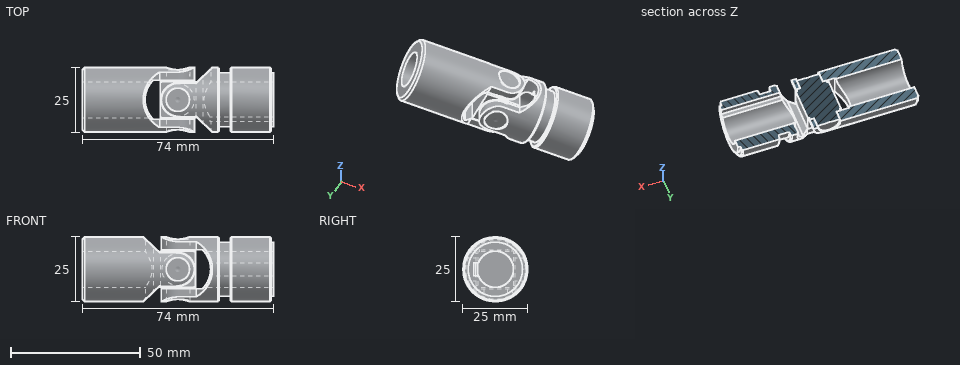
import cadquery as cq

body_diameter = 25.0
body_radius = body_diameter / 2
length = 74.0
half_length = length / 2
bore_diameter = 14.0
end_chamfer = 0.95

cheek_width = 12.95
cheek_gap = 15.0
cheek_root_x = 7.0
shoulder_x = 13.4
relief_radius = 10.65
relief_center_x = 2.0

block_size = 13.8
boss_diameter = 12.5
pin_diameter = 9.0
pin_span = 23.2
dimple_diameter = 2.15
dimple_depth = 0.2

neck_diameter = 21.0
groove_start_x = 15.9
groove_end_x = 20.3
collar_end_x = 36.05
collar_chamfer = 0.5
keyway_width = 5.0
keyway_floor_y = -8.35


def x_cylinder(diameter, start_x, end_x):
    """Cylinder on the X axis between two stations."""
    return cq.Workplane("YZ", origin=(start_x, 0, 0)).circle(diameter / 2).extrude(end_x - start_x)


def z_cylinder(diameter, height):
    """Cylinder on the Z axis, centred on the origin."""
    return cq.Workplane("XY").circle(diameter / 2).extrude(height / 2, both=True)


def fork_outline():
    """Prism seen along Z: rounded cheek, sloping shoulders and full-width shank."""
    half_width = cheek_width / 2
    return (
        cq.Workplane("XY")
        .moveTo(0, half_width)
        .lineTo(cheek_root_x, half_width)
        .lineTo(shoulder_x, body_radius)
        .lineTo(half_length, body_radius)
        .lineTo(half_length, -body_radius)
        .lineTo(shoulder_x, -body_radius)
        .lineTo(cheek_root_x, -half_width)
        .lineTo(0, -half_width)
        .threePointArc((-half_width, 0), (0, half_width))
        .close()
        .extrude(body_radius, both=True)
    )


def make_yoke(shank):
    """Cut a shank lying towards +X into a bored fork whose pin holes lie on Z."""
    relief_end = cq.Workplane("XZ").center(relief_center_x, 0).circle(relief_radius)
    relief_end = relief_end.extrude(body_radius, both=True)
    gap = (
        cq.Workplane("XZ")
        .center(relief_center_x - half_length / 2, 0)
        .rect(half_length, cheek_gap)
        .extrude(body_radius, both=True)
    )
    gap_slab = cq.Workplane("XY").box(length, body_diameter, cheek_gap)
    relief = relief_end.intersect(gap_slab).union(gap)
    bore = x_cylinder(bore_diameter, 0, half_length)
    pin_holes = z_cylinder(pin_diameter, body_diameter)
    return shank.intersect(fork_outline()).cut(relief).cut(bore).cut(pin_holes)


def make_plain_yoke():
    """Plain yoke on the -X side, with its pin holes on Y."""
    shank = x_cylinder(body_diameter, -cheek_width / 2, half_length)
    shank = shank.faces(">X").chamfer(end_chamfer)
    yoke = make_yoke(shank)
    return yoke.rotate((0, 0, 0), (0, 0, 1), 180).rotate((0, 0, 0), (1, 0, 0), 90)


def make_grooved_yoke():
    """Yoke on the +X side with a groove, a collar, a keyed bore and a short end spigot."""
    front = x_cylinder(body_diameter, -cheek_width / 2, groove_start_x)
    front = front.faces(">X").chamfer(collar_chamfer)
    collar = x_cylinder(body_diameter, groove_end_x, collar_end_x)
    collar = collar.faces("<X or >X").chamfer(collar_chamfer)
    neck = x_cylinder(neck_diameter, 0, half_length)
    keyway = cq.Workplane("XY").box(half_length, -keyway_floor_y, keyway_width)
    keyway = keyway.translate((half_length / 2, keyway_floor_y / 2, 0))
    return make_yoke(front.union(neck).union(collar)).cut(keyway)


def make_cross():
    """Central cube with bosses and dimpled pins on Y and Z."""
    boss_and_pins = z_cylinder(boss_diameter, cheek_gap).union(z_cylinder(pin_diameter, pin_span))
    dimple = cq.Solid.makeCone(
        0, dimple_diameter / 2, dimple_depth, pnt=cq.Vector(0, 0, pin_span / 2 - dimple_depth)
    )
    boss_and_pins = boss_and_pins.cut(cq.Workplane(dimple)).cut(cq.Workplane(dimple.mirror("XY")))
    cross = cq.Workplane("XY").box(block_size, block_size, block_size)
    for angle in (0, 90):
        cross = cross.union(boss_and_pins.rotate((0, 0, 0), (1, 0, 0), angle))
    return cross


plain_yoke = make_plain_yoke()
grooved_yoke = make_grooved_yoke()
cross = make_cross()

result = cq.Compound.makeCompound([plain_yoke.val(), grooved_yoke.val(), cross.val()])